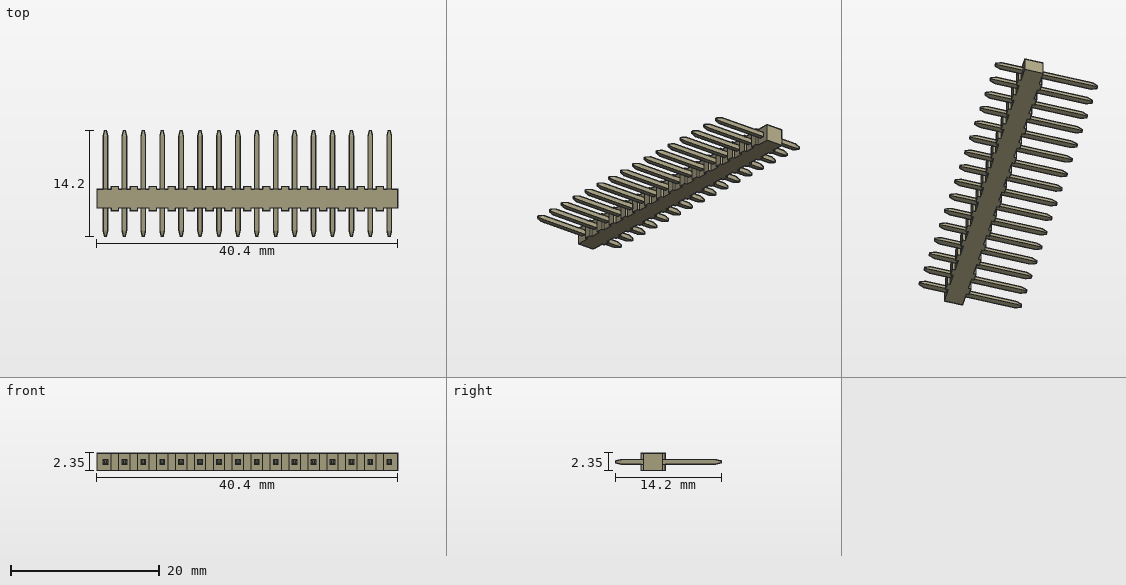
import cadquery as cq

strip_length = 40.4
strip_depth = 2.55
strip_height = 2.35

pin_count = 16
first_to_last_pin = 38.1
pin_pitch = first_to_last_pin / (pin_count - 1)
pin_width = 0.65
tip_width = 0.3
tip_length = 0.75
pin_length = 14.2
front_reach = 3.8

rib_width = 1.0
rib_projection = 0.35


def along_strip(count):
    """X places of a centred row of features at the pin pitch."""
    return [(i - (count - 1) / 2) * pin_pitch for i in range(count)]


def make_strip():
    """Strip with full-height ribs standing out from its front and back."""
    strip = cq.Workplane("XY").box(strip_length, strip_depth, strip_height)
    ribs = (
        cq.Workplane("XY")
        .pushPoints([(x, 0) for x in along_strip(pin_count - 1)])
        .box(rib_width, strip_depth + 2 * rib_projection, strip_height)
    )
    return strip.union(ribs)


def make_tip(base_y, end_y):
    """Square taper from the pin section at base_y to the blunt end at end_y."""
    direction = 1 if end_y > base_y else -1
    base = cq.Plane(origin=(0, base_y, 0), xDir=(1, 0, 0), normal=(0, direction, 0))
    return (
        cq.Workplane(base)
        .rect(pin_width, pin_width)
        .workplane(offset=abs(end_y - base_y))
        .rect(tip_width, tip_width)
        .loft(ruled=True)
    )


def make_pin():
    """Square pin along Y with a tapered tip at each end."""
    front_y = -strip_depth / 2 - front_reach
    back_y = front_y + pin_length
    shank_length = pin_length - 2 * tip_length
    shank_middle = (front_y + back_y) / 2
    shank = (
        cq.Workplane("XY")
        .box(pin_width, shank_length, pin_width)
        .translate((0, shank_middle, 0))
    )
    front_tip = make_tip(front_y + tip_length, front_y)
    back_tip = make_tip(back_y - tip_length, back_y)
    return shank.union(front_tip).union(back_tip)


result = make_strip()
pin = make_pin()
for pin_x in along_strip(pin_count):
    result = result.union(pin.translate((pin_x, 0, 0)))